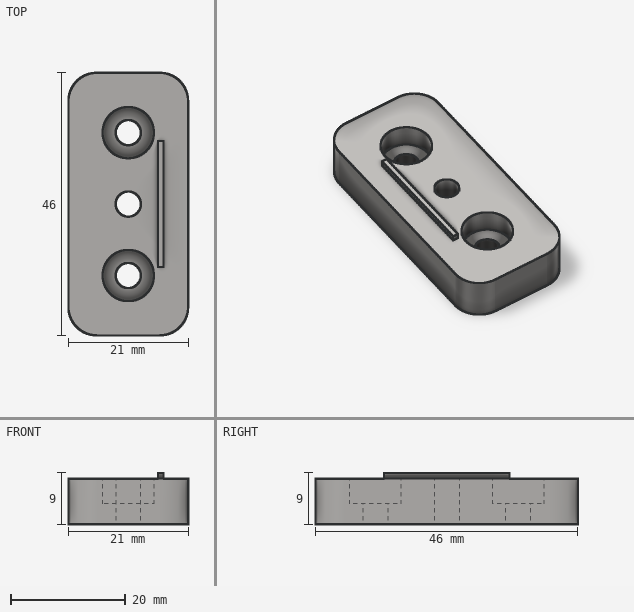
import cadquery as cq

plate_width = 21.0
plate_length = 46.0
plate_height = 8.0
corner_radius = 5.0

hole_diameter = 4.37
hole_pitch = 12.5
counterbore_diameter = 9.0
counterbore_depth = 4.4

rib_width = 1.0
rib_length = 22.0
rib_height = 1.0
rib_center_x = 5.7


def make_plate():
    """Rounded rectangular plate standing on Z = 0."""
    plate = cq.Workplane("XY").box(
        plate_width, plate_length, plate_height, centered=(True, True, False)
    )
    return plate.edges("|Z").fillet(corner_radius)


def cut_holes(body):
    """Plain through hole in the middle, a counterbored hole on each side of it."""
    top = body.faces(">Z").workplane(origin=(0, 0, plate_height))
    body = top.hole(hole_diameter)
    top = body.faces(">Z").workplane(origin=(0, 0, plate_height))
    outer_points = [(0, -hole_pitch), (0, hole_pitch)]
    return top.pushPoints(outer_points).cboreHole(
        hole_diameter, counterbore_diameter, counterbore_depth
    )


def make_rib():
    """Straight square rib resting on the top face of the plate."""
    base = cq.Workplane("XY", origin=(rib_center_x, 0, plate_height))
    return base.box(rib_width, rib_length, rib_height, centered=(True, True, False))


result = cut_holes(make_plate()).union(make_rib())